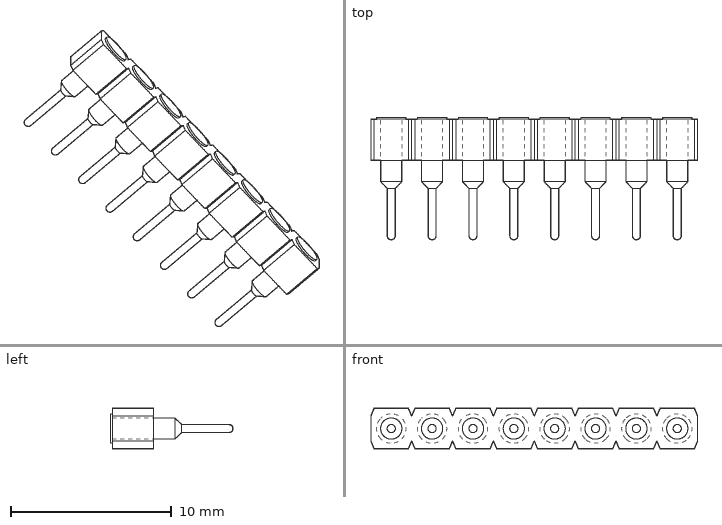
import cadquery as cq


pin_count = 8
strip_length = 20.32
pitch = strip_length / pin_count
housing_height = pitch
housing_depth = 2.56
notch_depth = 0.49
notch_half_width = 0.2

flange_diameter = 1.83
flange_thickness = 0.12
barrel_diameter = 1.32
barrel_projection = 1.32
cone_length = 0.43
tail_diameter = 0.5
overall_depth = 7.62

flange_back_y = overall_depth / 2
housing_back_y = flange_back_y - flange_thickness
housing_front_y = housing_back_y - housing_depth
barrel_end_y = housing_front_y - barrel_projection
cone_end_y = barrel_end_y - cone_length
tip_y = -overall_depth / 2
tip_start_y = tip_y + tail_diameter / 2

pin_positions = [(i - (pin_count - 1) / 2) * pitch for i in range(pin_count)]


def make_segment(x):
    """One pin's share of the housing: a block with bevelled long edges and a bore for the barrel."""
    half_width = pitch / 2
    half_height = housing_height / 2
    top_half_width = half_width - notch_half_width
    side_half_height = half_height - notch_depth
    outline = [
        (-half_width, -side_half_height),
        (-top_half_width, -half_height),
        (top_half_width, -half_height),
        (half_width, -side_half_height),
        (half_width, side_half_height),
        (top_half_width, half_height),
        (-top_half_width, half_height),
        (-half_width, side_half_height),
    ]
    return (
        cq.Workplane("XZ", origin=(x, housing_back_y, 0))
        .polyline(outline)
        .close()
        .circle(barrel_diameter / 2)
        .extrude(housing_depth)
    )


def make_housing():
    """Join the segments side by side; neighbouring bevels form the V notches."""
    housing = make_segment(pin_positions[0])
    for x in pin_positions[1:]:
        housing = housing.union(make_segment(x))
    return housing.clean()


def make_pin(x):
    """Turned pin: flange behind the housing, barrel through it, cone, and a round-ended tail."""
    flange_radius = flange_diameter / 2
    barrel_radius = barrel_diameter / 2
    tail_radius = tail_diameter / 2
    arc_offset = tail_radius * 0.5 ** 0.5
    return (
        cq.Workplane("XY")
        .moveTo(0, flange_back_y)
        .lineTo(flange_radius, flange_back_y)
        .lineTo(flange_radius, housing_back_y)
        .lineTo(barrel_radius, housing_back_y)
        .lineTo(barrel_radius, barrel_end_y)
        .lineTo(tail_radius, cone_end_y)
        .lineTo(tail_radius, tip_start_y)
        .threePointArc((arc_offset, tip_start_y - arc_offset), (0, tip_y))
        .close()
        .revolve(360, (0, 0, 0), (0, 1, 0))
        .translate((x, 0, 0))
    )


housing = make_housing()
pins = [make_pin(x) for x in pin_positions]

result = cq.Compound.makeCompound([housing.val(), *[pin.val() for pin in pins]])